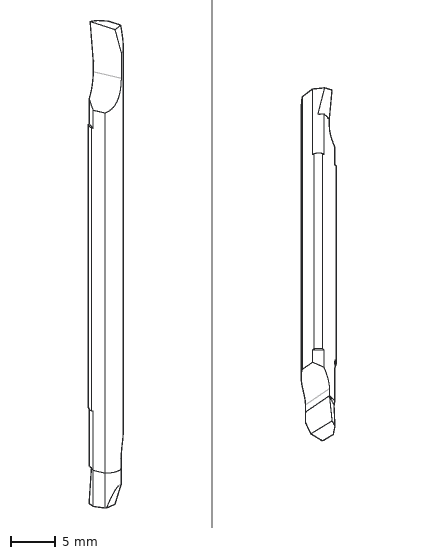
import cadquery as cq
import math


rod_radius = 2.0
rod_thickness = 3.6
side_flat_x = -1.6
half_length = 30.0
half_thickness = rod_thickness / 2

bevel_start = (side_flat_x, 0.95)
bevel_end = (-0.63, half_thickness)
round_half_length = 17.7

relief_start_z = 23.8
relief_radius = 5.0

tip_length = 4.9
tip_base_z = half_length - tip_length
end_edge_drop = 0.3
corner_edge_height = 3.0
end_clearance = 8.0
side_clearance = 20.0

side_edge_base = (side_flat_x, tip_base_z)
nose = (-rod_radius, half_length)
end_edge_corner = (1.2, half_length - end_edge_drop)
corner_edge_base = (rod_radius, half_length - corner_edge_height)

tool_size = 4 * half_length


def half_turn(body):
    """Turn a body to the opposite end of the insert."""
    return body.rotate((0, 0, 0), (1, 0, 0), 180)


def rod_length(z_low, z_high):
    """Stretch of round rod with the two flats facing -Y and +Y."""
    height = z_high - z_low
    rod = cq.Workplane("XY", origin=(0, 0, z_low)).circle(rod_radius).extrude(height)
    slab = cq.Workplane("XY", origin=(0, 0, z_low)).rect(tool_size, rod_thickness).extrude(height)
    return rod.intersect(slab)


def bevel_cutter(side, z_low, z_high):
    """Triangular prism that removes the rod corner towards -X; side is +1 for +Y, -1 for -Y."""
    slope = (bevel_end[1] - bevel_start[1]) / (bevel_end[0] - bevel_start[0])
    left_x = -2 * rod_radius
    right_x = rod_radius
    left_y = bevel_start[1] + slope * (left_x - bevel_start[0])
    right_y = bevel_start[1] + slope * (right_x - bevel_start[0])
    outline = [(left_x, side * left_y), (right_x, side * right_y), (left_x, side * right_y)]
    return cq.Workplane("XY", origin=(0, 0, z_low)).polyline(outline).close().extrude(z_high - z_low)


def relief_cutter():
    """Space on the -Y side of the upper rake face: flat, then an arc running out past the -Y flat."""
    run_out_angle = math.acos(1 - rod_radius / relief_radius)

    def arc_point(angle):
        return (-relief_radius * (1 - math.cos(angle)), relief_start_z - relief_radius * math.sin(angle))

    return (
        cq.Workplane("YZ")
        .moveTo(0, half_length)
        .lineTo(0, relief_start_z)
        .threePointArc(arc_point(run_out_angle / 2), arc_point(run_out_angle))
        .lineTo(-rod_radius, half_length)
        .close()
        .extrude(rod_radius, both=True)
    )


def clearance_cutter(edge_start, edge_end, clearance):
    """Block outside a cutting edge in the rake plane, leaning inwards towards +Y by the clearance."""
    run_x = edge_end[0] - edge_start[0]
    run_z = edge_end[1] - edge_start[1]
    length = math.hypot(run_x, run_z)
    lean = math.radians(clearance)
    outward = (-run_z / length * math.cos(lean), math.sin(lean), run_x / length * math.cos(lean))
    face = cq.Plane(
        origin=(edge_start[0], 0, edge_start[1]),
        xDir=(run_x, 0, run_z),
        normal=outward,
    )
    return cq.Workplane(face).rect(tool_size, tool_size).extrude(tool_size)


def make_shank():
    """Rod between the two tip bases, with bevels and a relief towards each end."""
    shank = rod_length(-tip_base_z, tip_base_z)
    beyond_flat = cq.Workplane("XY").box(rod_radius, tool_size, tool_size)
    shank = shank.cut(beyond_flat.translate((side_flat_x - rod_radius / 2, 0, 0)))
    for side in (1, -1):
        bevel = bevel_cutter(side, round_half_length, half_length)
        shank = shank.cut(bevel).cut(half_turn(bevel))
    relief = relief_cutter()
    return shank.cut(relief).cut(half_turn(relief))


def make_tip():
    """Upper cutting tip: half the rod behind the rake plane, ground back from its three edges."""
    tip = rod_length(tip_base_z, half_length)
    tip = tip.cut(bevel_cutter(1, tip_base_z, half_length)).cut(relief_cutter())
    edges = [
        (side_edge_base, nose, side_clearance),
        (nose, end_edge_corner, end_clearance),
        (end_edge_corner, corner_edge_base, end_clearance),
    ]
    for edge_start, edge_end, clearance in edges:
        tip = tip.cut(clearance_cutter(edge_start, edge_end, clearance))
    return tip


holder = make_shank().union(make_tip())

lower_tip = half_turn(make_tip())

result = cq.Compound.makeCompound([holder.val(), lower_tip.val()])